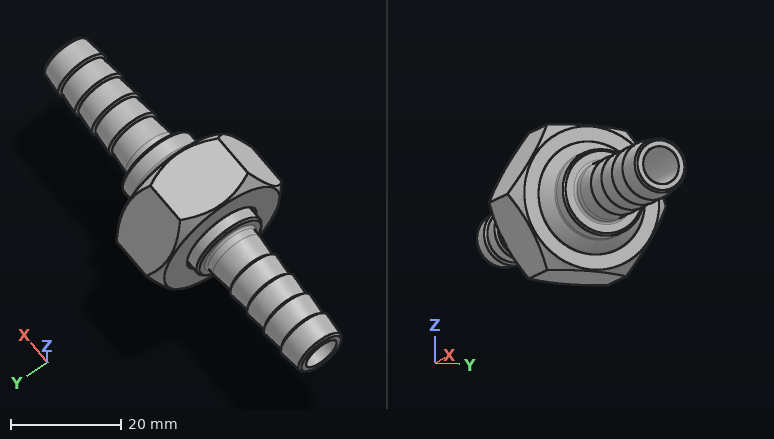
import cadquery as cq
import math

OVERALL_LENGTH = 76.0
BORE_DIAMETER = 7.0

CREST_DIAMETER = 11.0
VALLEY_DIAMETER = 10.0
BARB_PITCH = 5.0
BARB_COUNT = 4
BARB_BACK_LENGTH = 0.4
TAIL_LENGTH = 27.0
EDGE_CHAMFER = 0.4
FILLET_RADIUS = 0.5

HEX_ACROSS_FLATS = 27.0
NUT_START = 29.5
NUT_LENGTH = 13.5
NUT_WALL = 3.0
NUT_HOLE_DIAMETER = 16.0
NUT_FACE_DIAMETER = 26.5
THREAD_DIAMETER = 20.9

TAIL_COLLAR_DIAMETER = 15.0
TAIL_FLANGE_DIAMETER = 18.0
TAIL_FLANGE_LENGTH = 3.0

THREADED_COLLAR_DIAMETER = 16.0
DOME_END_FROM_TIP = 30.6
DOME_RADIUS = 13.0

NUT_END = NUT_START + NUT_LENGTH
NUT_WALL_INNER_FACE = NUT_START + NUT_WALL
PARTING_FACE = NUT_WALL_INNER_FACE + TAIL_FLANGE_LENGTH
BARBED_LENGTH = (BARB_COUNT + 1) * BARB_PITCH


def hose_tail_profile(collar_radius):
    """Open half profile from the bore at the tip (X = 0) over the barbs to the collar edge."""
    crest = CREST_DIAMETER / 2
    valley = VALLEY_DIAMETER / 2
    arc_offset = FILLET_RADIUS * math.sqrt(0.5)

    profile = cq.Workplane("XY").moveTo(0, BORE_DIAMETER / 2)
    profile = profile.lineTo(0, valley - EDGE_CHAMFER)
    profile = profile.lineTo(EDGE_CHAMFER, valley)
    for barb in range(1, BARB_COUNT + 1):
        crest_x = barb * BARB_PITCH
        profile = profile.lineTo(crest_x, crest)
        profile = profile.lineTo(crest_x + BARB_BACK_LENGTH, valley)
    profile = profile.lineTo(BARBED_LENGTH, crest)
    profile = profile.lineTo(TAIL_LENGTH - FILLET_RADIUS, crest)
    profile = profile.threePointArc(
        (TAIL_LENGTH - FILLET_RADIUS + arc_offset, crest + FILLET_RADIUS - arc_offset),
        (TAIL_LENGTH, crest + FILLET_RADIUS),
    )
    profile = profile.lineTo(TAIL_LENGTH, collar_radius - EDGE_CHAMFER)
    return profile.lineTo(TAIL_LENGTH + EDGE_CHAMFER, collar_radius)


def revolve_with_bore(profile, inner_end):
    """Close a half profile along the bore from its inner end and revolve it about X."""
    profile = profile.lineTo(inner_end, BORE_DIAMETER / 2).close()
    return profile.revolve(360, (0, 0, 0), (1, 0, 0))


def make_tail_piece():
    """Left hose tail: its collar passes through the nut, its flange rests on the nut wall."""
    collar_radius = TAIL_COLLAR_DIAMETER / 2
    flange_radius = TAIL_FLANGE_DIAMETER / 2
    profile = hose_tail_profile(collar_radius)
    profile = (
        profile.lineTo(NUT_WALL_INNER_FACE, collar_radius)
        .lineTo(NUT_WALL_INNER_FACE, flange_radius)
        .lineTo(PARTING_FACE, flange_radius)
    )
    return revolve_with_bore(profile, PARTING_FACE)


def make_threaded_piece():
    """Right hose tail: a domed shoulder widens from its collar to the plug at the nut face."""
    plug_radius = THREAD_DIAMETER / 2
    collar_radius = THREADED_COLLAR_DIAMETER / 2
    plug_start = OVERALL_LENGTH - NUT_END
    plug_end = OVERALL_LENGTH - PARTING_FACE
    profile = hose_tail_profile(collar_radius)
    profile = (
        profile.lineTo(DOME_END_FROM_TIP, collar_radius)
        .radiusArc((plug_start, plug_radius), DOME_RADIUS)
        .lineTo(plug_end, plug_radius)
    )
    piece = revolve_with_bore(profile, plug_end)
    corner_selector = cq.selectors.BoxSelector(
        (DOME_END_FROM_TIP - FILLET_RADIUS, -plug_radius, -plug_radius),
        (DOME_END_FROM_TIP + FILLET_RADIUS, plug_radius, plug_radius),
        boundingbox=True,
    )
    piece = piece.edges("%CIRCLE").edges(corner_selector).fillet(FILLET_RADIUS)
    return piece.rotate((0, 0, 0), (0, 0, 1), 180).translate((OVERALL_LENGTH, 0, 0))


def make_nut():
    """Hexagon nut with 45 degree chamfered corners and a threaded recess open to +X."""
    across_corners = HEX_ACROSS_FLATS / math.cos(math.radians(30))
    corner_radius = across_corners / 2
    face_radius = NUT_FACE_DIAMETER / 2
    chamfer = corner_radius - face_radius

    start_plane = cq.Workplane("YZ", origin=(NUT_START, 0, 0))
    hexagon = start_plane.polygon(6, across_corners).extrude(NUT_LENGTH)
    envelope = start_plane.circle(corner_radius).extrude(NUT_LENGTH).edges().chamfer(chamfer)
    hole = start_plane.circle(NUT_HOLE_DIAMETER / 2).extrude(NUT_LENGTH)
    recess = (
        start_plane.workplane(offset=NUT_WALL)
        .circle(THREAD_DIAMETER / 2)
        .extrude(NUT_LENGTH - NUT_WALL)
    )
    return hexagon.intersect(envelope).cut(hole).cut(recess)


tail_piece = make_tail_piece()
threaded_piece = make_threaded_piece()
nut = make_nut()

result = cq.Compound.makeCompound([tail_piece.val(), threaded_piece.val(), nut.val()])